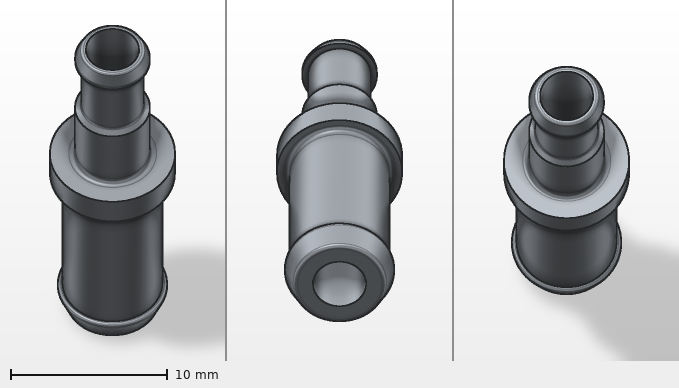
import cadquery as cq

length = 25.5
bore_radius = 3.4 / 2

lower_radius = 6.4 / 2
upper_radius = 4.8 / 2
neck_radius = 4.0 / 2
flange_radius = 8.0 / 2
flange_bottom = 13.0
flange_height = 2.0
flange_top = flange_bottom + flange_height
root_fillet = 0.4

lower_barb_radius = 7.2 / 2
lower_barb_height = 1.85
lower_barb_tip_radius = 2.9
lower_barb_edge_fillet = 0.2
lower_tip_fillet = 0.3

upper_barb_height = 1.1
upper_barb_band = 0.25
upper_barb_bottom = length - upper_barb_height
upper_barb_edge_fillet = 0.1
upper_tip_fillet = 0.2

step_bottom = 19.64
step_height = 0.35
step_top = step_bottom + step_height
neck_fillet = 0.2


def make_body():
    """Revolve the stepped outline, including the bore, around Z."""
    return (
        cq.Workplane("XZ")
        .moveTo(bore_radius, 0)
        .lineTo(lower_barb_tip_radius, 0)
        .lineTo(lower_barb_radius, lower_barb_height)
        .lineTo(lower_radius, lower_barb_height)
        .lineTo(lower_radius, flange_bottom)
        .lineTo(flange_radius, flange_bottom)
        .lineTo(flange_radius, flange_top)
        .lineTo(upper_radius, flange_top)
        .lineTo(upper_radius, step_bottom)
        .lineTo(neck_radius, step_top)
        .lineTo(neck_radius, upper_barb_bottom)
        .lineTo(upper_radius, upper_barb_bottom)
        .lineTo(upper_radius, upper_barb_bottom + upper_barb_band)
        .lineTo(neck_radius, length)
        .lineTo(bore_radius, length)
        .close()
        .revolve(360, (0, 0, 0), (0, 1, 0))
    )


def fillet_ring(body, ring_radius, height, fillet_radius):
    """Round the circular edge with the given radius and height."""
    tolerance = 0.003
    reach = ring_radius + tolerance
    inner = ring_radius - tolerance
    rings = [
        edge
        for edge in body.edges("%CIRCLE").vals()
        if inner < edge.radius() < reach and abs(edge.Center().z - height) < tolerance
    ]
    return body.newObject(rings).fillet(fillet_radius)


result = make_body()
for ring in (
    (lower_radius, flange_bottom, root_fillet),
    (upper_radius, flange_top, root_fillet),
    (neck_radius, step_top, neck_fillet),
    (lower_barb_radius, lower_barb_height, lower_barb_edge_fillet),
    (lower_barb_tip_radius, 0, lower_tip_fillet),
    (upper_radius, upper_barb_bottom + upper_barb_band, upper_barb_edge_fillet),
    (neck_radius, length, upper_tip_fillet),
):
    result = fillet_ring(result, *ring)